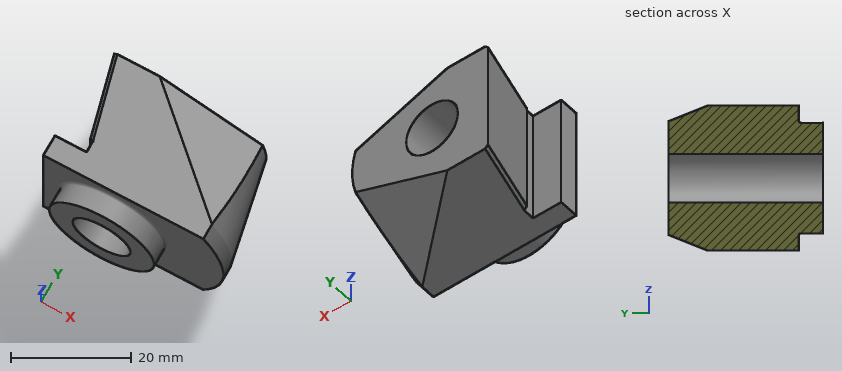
import cadquery as cq

length = 34.3
height = 24.15
depth = 21.68
half_height = height / 2

plate_thickness = 4.0
notch_back_y = 6.4
notch_floor_x = 6.0

flank_front_x = 5.35
flank_back_x = 1.4
flank_chamfer = 0.6

axis_x = 13.35
boss_diameter = 19.95
boss_height = 4.0
boss_root_radius = 0.4
bore_diameter = 11.0

end_radius = length - axis_x
end_back_radius = 17.05
taper_start_y = 2.9

facet_back_x = 10.1
facet_front_x = 30.53
facet_drop = 21.0
facet_run = 57.0
facet_cutter_size = 3 * length


def make_block():
    """Block with the notch and the slanted, chamfered left flank."""
    block = (
        cq.Workplane("XY", origin=(0, 0, -half_height))
        .polyline([
            (0, 0),
            (length, 0),
            (length, depth),
            (flank_back_x, depth),
            (flank_front_x, notch_back_y),
            (notch_floor_x, notch_back_y),
            (notch_floor_x, plate_thickness),
            (0, plate_thickness),
        ])
        .close()
        .extrude(height)
    )
    flank_x = (flank_front_x + flank_back_x) / 2
    flank_y = (notch_back_y + depth) / 2
    for z in (-half_height, half_height):
        edge = cq.selectors.NearestToPointSelector((flank_x, flank_y, z))
        block = block.edges(edge).chamfer(flank_chamfer)
    return block


def make_end_envelope():
    """Turned envelope about the bore axis that rounds and tapers the right end."""
    return (
        cq.Workplane("XY", origin=(axis_x, 0, 0))
        .polyline([
            (0, 0),
            (end_radius, 0),
            (end_radius, taper_start_y),
            (end_back_radius, depth),
            (0, depth),
        ])
        .close()
        .revolve(360, (0, 0, 0), (0, 1, 0))
    )


def make_facet_cutter():
    """Half-space above the plane of the top facet."""
    back_point = cq.Vector(facet_back_x, depth, half_height)
    front_point = cq.Vector(facet_front_x, taper_start_y, half_height)
    ridge = front_point - back_point
    back_edge = cq.Vector(facet_run, 0, -facet_drop)
    facet_plane = cq.Plane(back_point, ridge, ridge.cross(back_edge))
    return (
        cq.Workplane(facet_plane)
        .rect(facet_cutter_size, facet_cutter_size)
        .extrude(length)
    )


def make_boss():
    """Turned boss with a concave fillet at its root, overlapping into the plate."""
    boss_radius = boss_diameter / 2
    root_radius = boss_radius + boss_root_radius
    return (
        cq.Workplane("XY", origin=(axis_x, 0, 0))
        .moveTo(0, -boss_height)
        .lineTo(boss_radius, -boss_height)
        .lineTo(boss_radius, -boss_root_radius)
        .radiusArc((root_radius, 0), boss_root_radius)
        .lineTo(root_radius, plate_thickness / 2)
        .lineTo(0, plate_thickness / 2)
        .close()
        .revolve(360, (0, 0, 0), (0, 1, 0))
    )


body = make_block().intersect(make_end_envelope())
facet_cutter = make_facet_cutter()
body = body.cut(facet_cutter).cut(facet_cutter.mirror("XY"))

bore = (
    cq.Workplane("XZ", origin=(axis_x, depth, 0))
    .circle(bore_diameter / 2)
    .extrude(depth + boss_height)
)
result = body.union(make_boss()).cut(bore)